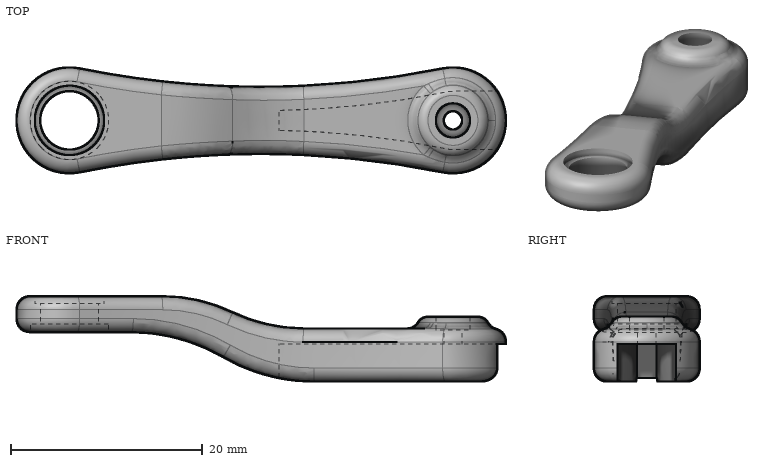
import cadquery as cq
import math

length = 51.25
end_width = 11.1
waist_half_width = 3.55
rounding = 1.45

eye_top = 8.95
eye_bottom = 5.2
low_top = 5.6
upper_bend = (15.15, 30.1)
lower_bend = (12.05, 31.2)

eye_diameter = 6.1
eye_recess_diameter = 7.3
eye_recess_depth = 0.75
eye_seat_diameter = 8.2
eye_seat_depth = 0.85

boss_top = 6.8
boss_flat_radius = 2.6
boss_base_radius = 4.7
boss_foot_rounding = 1.25
screw_diameter = 1.9
screw_head_diameter = 3.6
screw_head_depth = 1.4

channel_wall = 2.5
channel_depth = 3.95
channel_start = 27.45

end_radius = end_width / 2
eye_x = end_radius
boss_x = length - end_radius
middle_x = length / 2

selection_margin = 0.05


def waist_arc(round_radius, half_width):
    """Radius of the hollow waist arc, and the point where it meets the boss end arc."""
    span = boss_x - middle_x
    rise = round_radius - half_width
    radius = (span**2 - rise**2) / (2 * rise)
    share = round_radius / (radius + round_radius)
    touch = (boss_x - span * share, (radius + half_width) * share)
    return radius, touch


def bend_points(bend, high, low):
    """Three inner points of an S bend of two equal arcs: first arc, inflection, second arc."""
    start, end = bend
    half_run = (end - start) / 2
    half_drop = (high - low) / 2
    half_angle = math.atan2(half_drop, half_run)
    radius = half_run / math.sin(2 * half_angle)
    run = radius * math.sin(half_angle)
    drop = radius * (1 - math.cos(half_angle))
    return (
        (start + run, high - drop),
        (start + half_run, high - half_drop),
        (end - run, low + drop),
    )


def make_arm():
    """Plan outline and bent side profile crossed, with both face outlines rounded."""
    _, (touch_x, touch_y) = waist_arc(end_radius, waist_half_width)
    plan = (
        cq.Workplane("XY")
        .moveTo(length - touch_x, touch_y)
        .threePointArc((middle_x, waist_half_width), (touch_x, touch_y))
        .threePointArc((length, 0), (touch_x, -touch_y))
        .threePointArc((middle_x, -waist_half_width), (length - touch_x, -touch_y))
        .threePointArc((0, 0), (length - touch_x, touch_y))
        .close()
        .extrude(eye_top)
    )
    upper_1, upper_mid, upper_2 = bend_points(upper_bend, eye_top, low_top)
    lower_1, lower_mid, lower_2 = bend_points(lower_bend, eye_bottom, 0)
    overhang = end_radius
    side = (
        cq.Workplane("XZ")
        .moveTo(-overhang, eye_top)
        .lineTo(upper_bend[0], eye_top)
        .threePointArc(upper_1, upper_mid)
        .threePointArc(upper_2, (upper_bend[1], low_top))
        .lineTo(length + overhang, low_top)
        .lineTo(length + overhang, 0)
        .lineTo(lower_bend[1], 0)
        .threePointArc(lower_2, lower_mid)
        .threePointArc(lower_1, (lower_bend[0], eye_bottom))
        .lineTo(-overhang, eye_bottom)
        .close()
        .extrude(end_width, both=True)
    )
    return plan.intersect(side).edges("not(|Y or |Z)").fillet(rounding)


def add_boss(arm):
    """Round boss with a convex shoulder, a conical flank and a rounded hollow at its foot."""
    flank = (boss_flat_radius, boss_base_radius)
    shoulder, (waist_radius, waist_level), _ = bend_points(flank, boss_top, low_top)
    slope = 2 * math.atan2(boss_top - low_top, boss_base_radius - boss_flat_radius)
    foot_radius = waist_radius + (waist_level - low_top) / math.tan(slope)
    root = low_top - rounding
    boss = (
        cq.Workplane("XZ")
        .moveTo(0, boss_top)
        .lineTo(boss_flat_radius, boss_top)
        .threePointArc(shoulder, (waist_radius, waist_level))
        .lineTo(foot_radius, low_top)
        .lineTo(foot_radius, root)
        .lineTo(0, root)
        .close()
        .revolve(360, (0, 0), (0, 1))
        .translate((boss_x, 0, 0))
    )
    reach = foot_radius + selection_margin
    foot_edges = cq.selectors.BoxSelector(
        (boss_x - reach, -reach, low_top - selection_margin),
        (boss_x + reach, reach, low_top + selection_margin),
        boundingbox=True,
    )
    return arm.union(boss).edges(foot_edges).fillet(boss_foot_rounding)


def cylinder(x, diameter, bottom, top):
    """Upright cylinder on the centre line of the arm."""
    return cq.Workplane("XY", origin=(x, 0, bottom)).circle(diameter / 2).extrude(top - bottom)


def make_channel():
    """Flat-roofed channel that keeps an even wall along the waist and leaves through the end."""
    half_width = end_radius - channel_wall
    waist = waist_half_width - channel_wall
    radius, (touch_x, touch_y) = waist_arc(half_width, waist)

    def edge_y(x):
        return waist + radius - math.sqrt(radius**2 - (x - middle_x)**2)

    start_y = edge_y(channel_start)
    between_x = (channel_start + touch_x) / 2
    round_dx = (boss_x - touch_x) / 2
    round_y = math.sqrt(half_width**2 - round_dx**2)
    return (
        cq.Workplane("XY")
        .moveTo(channel_start, start_y)
        .threePointArc((between_x, edge_y(between_x)), (touch_x, touch_y))
        .threePointArc((boss_x - round_dx, round_y), (boss_x, half_width))
        .lineTo(length, half_width)
        .lineTo(length, -half_width)
        .lineTo(boss_x, -half_width)
        .threePointArc((boss_x - round_dx, -round_y), (touch_x, -touch_y))
        .threePointArc((between_x, -edge_y(between_x)), (channel_start, -start_y))
        .close()
        .extrude(channel_depth)
    )


result = add_boss(make_arm())

result = result.cut(cylinder(eye_x, eye_diameter, eye_bottom, eye_top))
result = result.cut(cylinder(eye_x, eye_recess_diameter, eye_top - eye_recess_depth, eye_top))
result = result.cut(cylinder(eye_x, eye_seat_diameter, eye_bottom, eye_bottom + eye_seat_depth))

result = result.cut(cylinder(boss_x, screw_diameter, 0, boss_top))
result = result.cut(cylinder(boss_x, screw_head_diameter, boss_top - screw_head_depth, boss_top))

result = result.cut(make_channel())